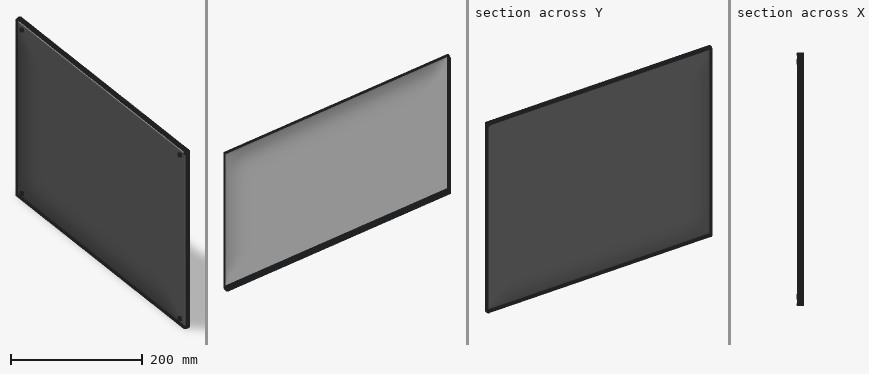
import cadquery as cq

side = 382.5
depth = 8.0
sheet = 1.0
bend_radius = 1.72
tray_depth = depth / 2
corner_notch = 1.0
hole_diameter = 5.0
hole_inset = 12.5

front_y = -depth / 2
inner_side = side - 2 * sheet
cavity_depth = tray_depth - sheet
board_thickness = depth - tray_depth
tray_rear_y = front_y + tray_depth
hole_spacing = side - 2 * hole_inset


def upright_block(width, thickness, start_y):
    """Square block of the given width, reaching from start_y towards +Y."""
    block = cq.Workplane("XY").box(width, thickness, width)
    return block.translate((0, start_y + thickness / 2, 0))


def rounded_block(width, thickness, start_y, radius):
    """Upright block with a rounded border around its front face."""
    return upright_block(width, thickness, start_y).faces("<Y").edges().fillet(radius)


def make_corner_notches():
    """Square reliefs that part the flanges at the four corners."""
    return (
        cq.Workplane("XZ", origin=(0, tray_rear_y, 0))
        .rarray(side - corner_notch, side - corner_notch, 2, 2)
        .rect(corner_notch, corner_notch)
        .extrude(tray_depth)
    )


def make_holes():
    """Four round holes through the front of the tray."""
    return (
        cq.Workplane("XZ", origin=(0, front_y + sheet, 0))
        .rarray(hole_spacing, hole_spacing, 2, 2)
        .circle(hole_diameter / 2)
        .extrude(sheet)
    )


def make_tray():
    """Thin tray with rounded bends, notched corners and fixing holes."""
    shell = rounded_block(side, tray_depth, front_y, bend_radius)
    cavity = rounded_block(inner_side, cavity_depth, front_y + sheet, bend_radius - sheet)
    shell = shell.cut(cavity)
    return shell.cut(make_corner_notches()).cut(make_holes())


def make_board():
    """Plain square board against the rear edges of the tray."""
    return upright_block(side, board_thickness, tray_rear_y)


tray = make_tray()
board = make_board()

result = cq.Compound.makeCompound([tray.val(), board.val()])